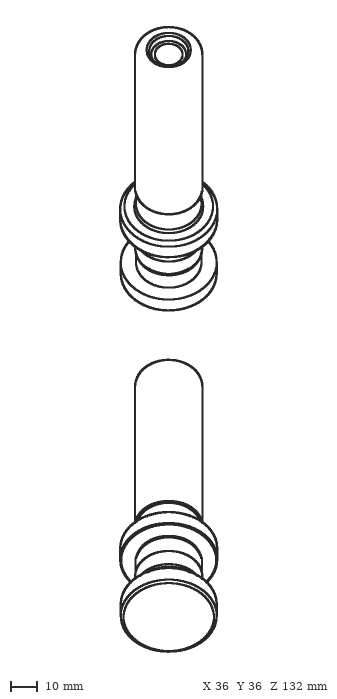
import cadquery as cq
import math

TOTAL_HEIGHT = 132.0
FOOT_TOP_Z = 14.5

FOOT_RADIUS = 17.8
FOOT_FLANGE_HEIGHT = 7.3
FOOT_CHAMFER_WIDTH = 1.0
FOOT_CHAMFER_HEIGHT = 0.8
FOOT_NECK_RADIUS = 12.1

SHAFT_RADIUS = 12.5
SHAFT_BOTTOM_Z = 51.0
TOP_ROUND_HEIGHT = 2.9
TOP_FACE_RADIUS = 9.6
RELIEF_RADIUS = 12.1
RELIEF_TOP_Z = 50.3
RELIEF_BOTTOM_Z = 41.5
SPIGOT_TOP_Z = 30.6
SPIGOT_CHAMFER = 1.0
SPIGOT_RADIUS = 12.4
SPIGOT_LOWER_DIAMETER = 25.0
SPIGOT_LOWER_RADIUS = SPIGOT_LOWER_DIAMETER / 2
SPIGOT_STEP_Z = 23.0

COLLAR_DIAMETER = 36.0
COLLAR_RADIUS = COLLAR_DIAMETER / 2
COLLAR_TOP_Z = 40.1
COLLAR_BOTTOM_Z = 32.0
COLLAR_TOP_CHAMFER = 1.6
COLLAR_BOTTOM_CHAMFER = 0.4
COLLAR_FLARE_RADIUS = 12.8
UNDERCUT_RADIUS = 12.0
UNDERCUT_BOTTOM_Z = 31.3

HOLE_RADIUS = 5.1
HOLE_DEPTH = 29.0
DRILL_POINT_ANGLE = 118.0
SHELF_RADIUS = 6.5
SHELF_DEPTH = 2.6
SEAT_RADIUS = 7.3
SEAT_DEPTH = 0.7
MOUTH_RADIUS = 8.2


def revolve_about_z(profile):
    """Turn a closed XZ profile (radius, height) into a solid of revolution."""
    return profile.close().revolve(360, (0, 0, 0), (0, 1, 0))


def make_foot():
    profile = (
        cq.Workplane("XZ")
        .moveTo(0, 0)
        .lineTo(FOOT_RADIUS - FOOT_CHAMFER_WIDTH, 0)
        .lineTo(FOOT_RADIUS, FOOT_CHAMFER_HEIGHT)
        .lineTo(FOOT_RADIUS, FOOT_FLANGE_HEIGHT)
        .lineTo(FOOT_NECK_RADIUS, FOOT_FLANGE_HEIGHT)
        .lineTo(FOOT_NECK_RADIUS, FOOT_TOP_Z)
        .lineTo(0, FOOT_TOP_Z)
    )
    return revolve_about_z(profile)


def make_centre_hole():
    """Blind drilled hole with a flat shelf, a tapered seat and a wider mouth."""
    point_depth = HOLE_RADIUS / math.tan(math.radians(DRILL_POINT_ANGLE / 2))
    hole_bottom_z = TOTAL_HEIGHT - HOLE_DEPTH
    profile = (
        cq.Workplane("XZ")
        .moveTo(0, hole_bottom_z - point_depth)
        .lineTo(HOLE_RADIUS, hole_bottom_z)
        .lineTo(HOLE_RADIUS, TOTAL_HEIGHT - SHELF_DEPTH)
        .lineTo(SHELF_RADIUS, TOTAL_HEIGHT - SHELF_DEPTH)
        .lineTo(SEAT_RADIUS, TOTAL_HEIGHT - SEAT_DEPTH)
        .lineTo(MOUTH_RADIUS, TOTAL_HEIGHT)
        .lineTo(0, TOTAL_HEIGHT)
    )
    return revolve_about_z(profile)


def make_pillar():
    round_bottom_z = TOTAL_HEIGHT - TOP_ROUND_HEIGHT
    round_width = SHAFT_RADIUS - TOP_FACE_RADIUS
    round_middle = (
        TOP_FACE_RADIUS + round_width * math.sqrt(0.5),
        round_bottom_z + TOP_ROUND_HEIGHT * math.sqrt(0.5),
    )
    profile = (
        cq.Workplane("XZ")
        .moveTo(0, FOOT_TOP_Z)
        .lineTo(SPIGOT_LOWER_RADIUS - SPIGOT_CHAMFER, FOOT_TOP_Z)
        .lineTo(SPIGOT_LOWER_RADIUS, FOOT_TOP_Z + SPIGOT_CHAMFER)
        .lineTo(SPIGOT_LOWER_RADIUS, SPIGOT_STEP_Z)
        .lineTo(SPIGOT_RADIUS, SPIGOT_STEP_Z)
        .lineTo(SPIGOT_RADIUS, SPIGOT_TOP_Z)
        .lineTo(UNDERCUT_RADIUS, UNDERCUT_BOTTOM_Z)
        .lineTo(UNDERCUT_RADIUS, COLLAR_BOTTOM_Z)
        .lineTo(COLLAR_RADIUS - COLLAR_BOTTOM_CHAMFER, COLLAR_BOTTOM_Z)
        .lineTo(COLLAR_RADIUS, COLLAR_BOTTOM_Z + COLLAR_BOTTOM_CHAMFER)
        .lineTo(COLLAR_RADIUS, COLLAR_TOP_Z - COLLAR_TOP_CHAMFER)
        .lineTo(COLLAR_RADIUS - COLLAR_TOP_CHAMFER, COLLAR_TOP_Z)
        .lineTo(COLLAR_FLARE_RADIUS, COLLAR_TOP_Z)
        .lineTo(RELIEF_RADIUS, RELIEF_BOTTOM_Z)
        .lineTo(RELIEF_RADIUS, RELIEF_TOP_Z)
        .lineTo(SHAFT_RADIUS, SHAFT_BOTTOM_Z)
        .lineTo(SHAFT_RADIUS, round_bottom_z)
        .threePointArc(round_middle, (TOP_FACE_RADIUS, TOTAL_HEIGHT))
        .lineTo(0, TOTAL_HEIGHT)
    )
    return revolve_about_z(profile).cut(make_centre_hole())


foot = make_foot()
pillar = make_pillar()

result = cq.Compound.makeCompound([foot.val(), pillar.val()])